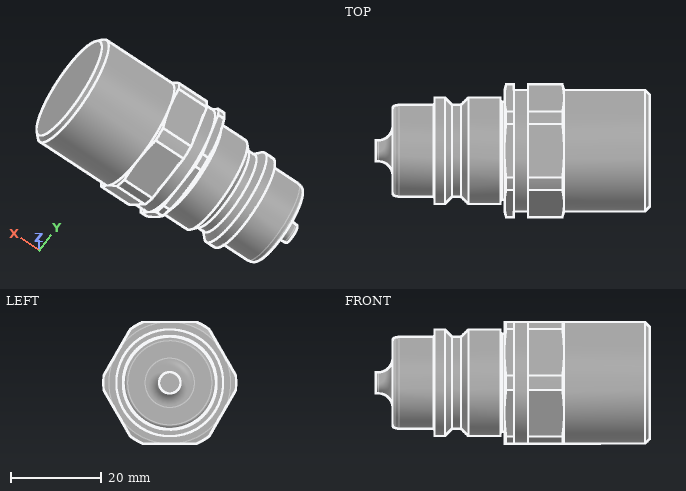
import cadquery as cq
import math


pin_dia = 4.75
body_dia = 20.45
flange_dia = 23.7
neck_dia = 21.8
across_flats = 27.0
barrel_dia = across_flats
hex_corner_dia = 29.5

pin_flare_start = 0.6
face_x = 3.7
lead_in_end = 5.15
flange_front = 13.0
flange_back = 15.3
lock_slope_start = 18.95
lock_back = 27.7
hex_front = 28.5
hex_groove_front = 30.6
hex_groove_back = 33.7
hex_back = 41.7
total_length = 60.7

lead_in_angle = math.radians(12)
nose_round = 0.7
flange_foot = 0.2
neck_foot_length = 0.3
neck_foot_height = 0.1
hex_chamfer_length = 0.35
barrel_chamfer = 1.1

pin_r = pin_dia / 2
body_r = body_dia / 2
flange_r = flange_dia / 2
neck_r = neck_dia / 2
barrel_r = barrel_dia / 2
hex_corner_r = hex_corner_dia / 2


def turned_body():
    """Revolve the half profile; the wrench section is still round here."""
    flare_r = face_x - pin_flare_start
    flare_centre_r = pin_r + flare_r
    flare_mid = (
        pin_flare_start + flare_r * math.sin(math.pi / 4),
        flare_centre_r - flare_r * math.cos(math.pi / 4),
    )

    round_centre_x = face_x + nose_round
    round_end_x = round_centre_x - nose_round * math.sin(lead_in_angle)
    round_end_r = body_r - (lead_in_end - round_end_x) * math.tan(lead_in_angle)
    round_centre_r = round_end_r - nose_round * math.cos(lead_in_angle)
    round_mid_angle = (math.pi / 2 - lead_in_angle) / 2
    round_mid = (
        round_centre_x - nose_round * math.cos(round_mid_angle),
        round_centre_r + nose_round * math.sin(round_mid_angle),
    )

    groove_depth = flange_r - body_r

    profile = (
        cq.Workplane("XY")
        .moveTo(0, 0)
        .lineTo(0, pin_r)
        .lineTo(pin_flare_start, pin_r)
        .threePointArc(flare_mid, (face_x, flare_centre_r))
        .lineTo(face_x, round_centre_r)
        .threePointArc(round_mid, (round_end_x, round_end_r))
        .lineTo(lead_in_end, body_r)
        .lineTo(flange_front - flange_foot, body_r)
        .lineTo(flange_front, body_r + flange_foot)
        .lineTo(flange_front, flange_r)
        .lineTo(flange_back, flange_r)
        .lineTo(flange_back + groove_depth, body_r)
        .lineTo(lock_slope_start, body_r)
        .lineTo(lock_slope_start + groove_depth, flange_r)
        .lineTo(lock_back, flange_r)
        .lineTo(lock_back, neck_r + neck_foot_height)
        .lineTo(lock_back + neck_foot_length, neck_r)
        .lineTo(hex_front, neck_r)
        .lineTo(hex_front, barrel_r)
        .lineTo(hex_front + hex_chamfer_length, hex_corner_r)
        .lineTo(hex_groove_front, hex_corner_r)
        .lineTo(hex_groove_front, barrel_r)
        .lineTo(hex_groove_back, barrel_r)
        .lineTo(hex_groove_back, hex_corner_r)
        .lineTo(hex_back - hex_chamfer_length, hex_corner_r)
        .lineTo(hex_back, barrel_r)
        .lineTo(total_length - barrel_chamfer, barrel_r)
        .lineTo(total_length, barrel_r - barrel_chamfer)
        .lineTo(total_length, 0)
        .close()
    )
    return profile.revolve(360, (0, 0, 0), (1, 0, 0))


def outside_hexagon():
    """Ring of material to remove so that the wrench section gets six flats, two facing +Z and -Z."""
    ring_outer_r = 2 * hex_corner_r
    across_corners = across_flats / math.cos(math.pi / 6)
    return (
        cq.Workplane("YZ", origin=(hex_front, 0, 0))
        .circle(ring_outer_r)
        .polygon(6, across_corners)
        .extrude(hex_back - hex_front)
    )


result = turned_body().cut(outside_hexagon())